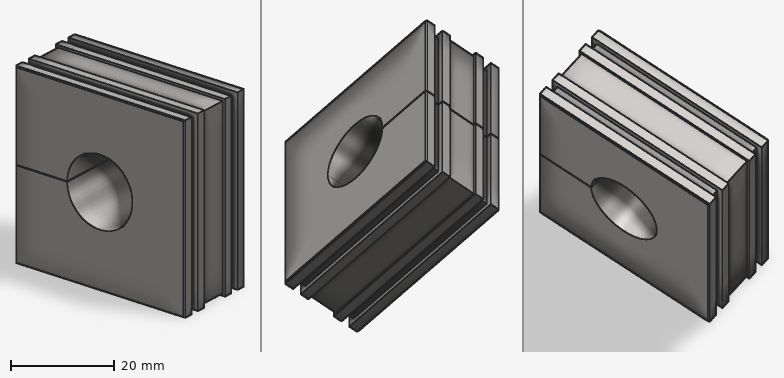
import cadquery as cq

width = 41.5
depth = 19.0
height = 42.0
edge_chamfer = 0.25

waist_half_depth = 3.28
rib_thickness = 1.97
groove_width = 1.97
groove_depth = 1.25
waist_recess = 0.55

bore_diameter = 16.0
slit_gap = 0.15


def perimeter_band(center_y, band_width, band_depth):
    """Rectangular ring that cuts a band around all four perimeter sides."""
    outer = cq.Workplane("XY").box(width, band_width, height)
    core = cq.Workplane("XY").box(width - 2 * band_depth, band_width, height - 2 * band_depth)
    return outer.cut(core).translate((0, center_y, 0))


body = cq.Workplane("XY").box(width, depth, height)
body = body.faces("<Y or >Y").edges().chamfer(edge_chamfer)

body = body.cut(perimeter_band(0, 2 * waist_half_depth, waist_recess))
groove_offset = waist_half_depth + rib_thickness + groove_width / 2
for side in (-1, 1):
    body = body.cut(perimeter_band(side * groove_offset, groove_width, groove_depth))

bore = cq.Workplane("XZ").circle(bore_diameter / 2).extrude(depth / 2, both=True)
body = body.cut(bore)

slit = cq.Workplane("XY").box(width / 2, depth, slit_gap).translate((-width / 4, 0, 0))
result = body.cut(slit)